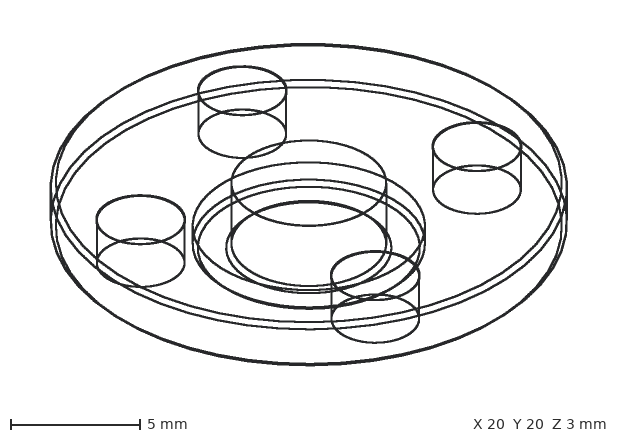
import cadquery as cq

disc_diameter = 20.0
disc_thickness = 2.0

hub_diameter = 9.0
hub_height = 1.0

bore_diameter = 6.0
bolt_hole_diameter = 3.4
bolt_circle_diameter = 14.0
bolt_hole_count = 4

edge_chamfer = 0.2
bolt_hole_edge_break = 0.02
edge_break_angle = 90.0


def make_disc():
    """Flange disc with both rims chamfered, top face at Z = hub_height + disc_thickness."""
    disc = cq.Workplane("XY").workplane(offset=hub_height)
    disc = disc.circle(disc_diameter / 2).extrude(disc_thickness)
    return disc.edges().chamfer(edge_chamfer)


def make_hub():
    """Short hub standing on Z = 0, chamfered around its free end."""
    hub = cq.Workplane("XY").circle(hub_diameter / 2).extrude(hub_height)
    return hub.faces("<Z").edges().chamfer(edge_chamfer)


def drill_bore(body):
    """Central bore, chamfered where it leaves the hub."""
    bored = body.faces(">Z").workplane(origin=(0, 0, 0)).hole(bore_diameter)
    hub_mouth = bored.faces("<Z").edges(cq.selectors.RadiusNthSelector(0))
    return hub_mouth.chamfer(edge_chamfer)


def drill_bolt_holes(body):
    """Ring of through holes, each with a fine edge break at the top face."""
    top = body.faces(">Z").workplane(origin=(0, 0, 0))
    return top.polarArray(bolt_circle_diameter / 2, 0, 360, bolt_hole_count).cskHole(
        bolt_hole_diameter,
        bolt_hole_diameter + 2 * bolt_hole_edge_break,
        edge_break_angle,
    )


blank = make_disc().union(make_hub())
result = drill_bolt_holes(drill_bore(blank))